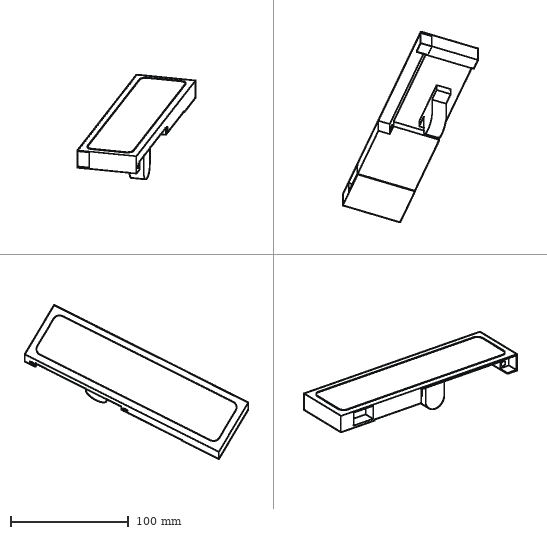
import cadquery as cq

width = 52.0
length = 188.0
height = 15.8
total_height = 45.5
skin = 1.1
end_wall = 1.0
floor_thickness = 1.0
y_min = -length / 2
y_max = length / 2
body_bottom = floor_thickness - height

pad_length = 176.3
pad_width = 40.5
pad_radius = 5.6
pad_height = 0.5

recess_depth = 10.3
recess_end_y = 8.3
window_y_min = 59.8
window_y_max = 80.3
window_bottom = -13.5

rear_floor_y = 58.0
opening_y_min = -83.7
opening_y_max = -0.8
opening_top = -8.5

hole_diameter = 4.5
hole_z = -11.3
hole_ys = (3.2, -87.0)

tongue_x_min = 30.6
tongue_thickness = 12.8
tongue_y = -29.7
tongue_width = 20.0
tongue_bottom = pad_height - total_height
base_length = 42.1
base_bottom = -15.2


def block(x_min, x_max, y_low, y_high, z_low, z_high):
    """Axis-aligned box between the given limits."""
    size = (x_max - x_min, y_high - y_low, z_high - z_low)
    return cq.Workplane("XY").box(*size, centered=False).translate((x_min, y_low, z_low))


def make_housing():
    housing = block(0, width, y_min, y_max, -height, 0)
    housing = housing.cut(block(0, width, opening_y_min, rear_floor_y, -height, body_bottom))
    housing = housing.cut(block(0, width, opening_y_min, opening_y_max, body_bottom, opening_top))
    recess = block(0, recess_depth, y_min + end_wall, recess_end_y, body_bottom, -skin)
    window = block(0, recess_depth, window_y_min, window_y_max, window_bottom, -skin)
    return housing.cut(recess).cut(window)


def make_pad():
    return (
        cq.Workplane("XY")
        .center(width / 2, 0)
        .rect(pad_width, pad_length)
        .extrude(pad_height)
        .edges("|Z")
        .fillet(pad_radius)
    )


def make_cross_holes():
    return (
        cq.Workplane("YZ")
        .pushPoints([(y, hole_z) for y in hole_ys])
        .circle(hole_diameter / 2)
        .extrude(width)
    )


def make_tongue():
    half_tongue = tongue_width / 2
    half_base = base_length / 2
    arc_z = tongue_bottom + half_tongue
    return (
        cq.Workplane("YZ", origin=(tongue_x_min, tongue_y, 0))
        .moveTo(-half_base, opening_top)
        .lineTo(-half_base, base_bottom)
        .lineTo(-half_tongue, base_bottom)
        .lineTo(-half_tongue, arc_z)
        .threePointArc((0, tongue_bottom), (half_tongue, arc_z))
        .lineTo(half_tongue, base_bottom)
        .lineTo(half_base, base_bottom)
        .lineTo(half_base, opening_top)
        .close()
        .extrude(tongue_thickness)
    )


result = make_housing().cut(make_cross_holes()).union(make_pad()).union(make_tongue())